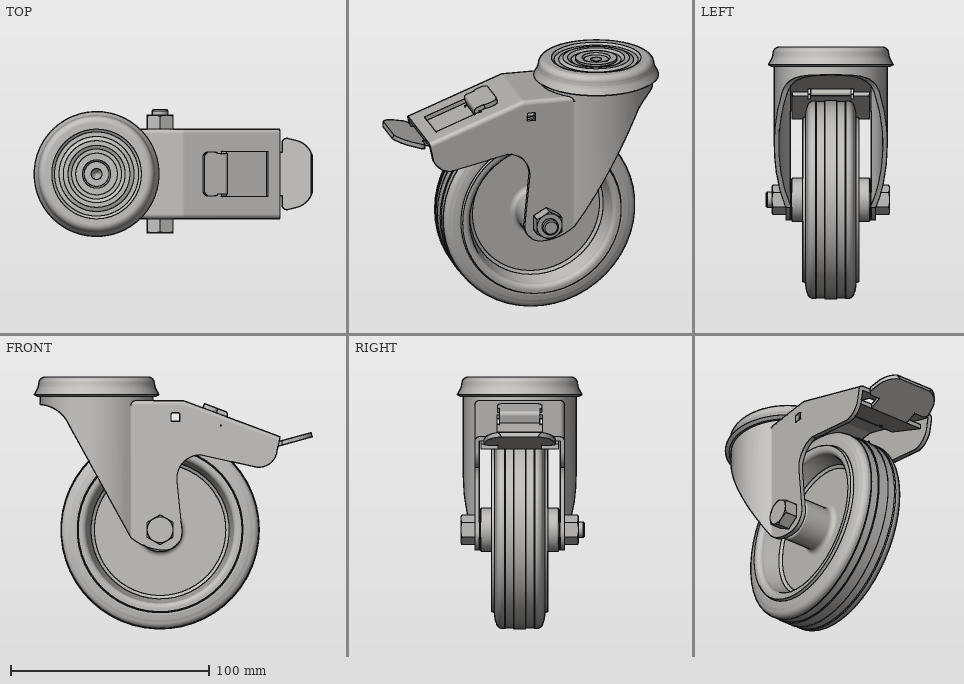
import cadquery as cq
import math


total_height = 127.0
wheel_radius = 50.0
wheel_offset = 32.0
bolt_diameter = 8.0
clearance_diameter = 8.3

head_radius = 31.5
head_height = 10.0
fork_top = total_height - head_height

sheet = 2.25
neck_radius = 28.5
leg_half_width = 22.6
channel_half_width = leg_half_width - sheet


def turned(outline):
    """Revolve an (r, axial) outline about the Z axis."""
    return outline.close().revolve(360, (0, 0, 0), (0, 1, 0))


head_rim_round = 3.4
head_top_radius = 25.8
pin_bore_radius = 5.52 / 2
pin_bore_depth = 4.0
drill_tip_depth = pin_bore_radius * math.tan(math.radians(60))
recess_radius = 12.5 / 2
recess_mouth_radius = 14.22 / 2
recess_depth = recess_mouth_radius - recess_radius
boss_radius = 10.5
ring_level = total_height - 1.0
recess_floor = total_height - recess_depth
bore_floor = recess_floor - pin_bore_depth
rim_start = (head_top_radius + head_rim_round, total_height - head_rim_round)
rim_middle = (
    head_top_radius + head_rim_round * math.sin(math.pi / 4),
    total_height - head_rim_round * (1 - math.cos(math.pi / 4)),
)


def make_head():
    outline = (
        cq.Workplane("XZ")
        .moveTo(0, fork_top)
        .lineTo(29.5, fork_top)
        .lineTo(head_radius, fork_top + 1.0)
        .lineTo(29.9, fork_top + 4.0)
        .lineTo(29.5, fork_top + 5.0)
        .lineTo(*rim_start)
        .threePointArc(rim_middle, (head_top_radius, total_height))
        .lineTo(22.6, total_height)
        .lineTo(21.2, ring_level)
        .lineTo(18.9, ring_level)
        .lineTo(16.8, total_height)
        .lineTo(14.4, total_height)
        .lineTo(12.6, ring_level)
        .lineTo(boss_radius, ring_level)
        .lineTo(boss_radius, total_height)
        .lineTo(recess_mouth_radius, total_height)
        .lineTo(recess_radius, recess_floor)
        .lineTo(pin_bore_radius, recess_floor)
        .lineTo(pin_bore_radius, bore_floor)
        .lineTo(0, bore_floor - drill_tip_depth)
    )
    return turned(outline)


roof_height = 115.1
roof_bend_x = 43.7
roof_angle = 20.5
roof_slope_length = 52.1
roof_bend_radius = 3.5
edge_round = sheet
crease_x = math.sqrt(neck_radius**2 - leg_half_width**2)
crease_round = 1.0
slope_cos = math.cos(math.radians(roof_angle))
slope_sin = math.sin(math.radians(roof_angle))
roof_plane = cq.Plane(
    origin=(roof_bend_x, 0, roof_height),
    xDir=(slope_cos, 0, -slope_sin),
    normal=(slope_sin, 0, slope_cos),
)
roof_end = roof_plane.toWorldCoords((roof_slope_length, 0, 0))

neck_front_height = 113.0
sight_hole_x = 39.7
sight_hole_z = 106.8
sight_hole_size = 4.2
sight_hole_round = 0.8

window_front = 20.5
window_rear = 45.6
window_half_width = 11.4


def side_outline():
    """Fork seen from the side, as a slab wide enough for the neck."""
    return (
        cq.Workplane("XZ", origin=(0, neck_radius, 0))
        .moveTo(-neck_radius, fork_top)
        .lineTo(-neck_radius, neck_front_height)
        .threePointArc((-20.4, 110.4), (-14.2, 103.3))
        .lineTo(17.2, 46.2)
        .threePointArc((24.7, 41.6), (34.5, 39.8))
        .threePointArc((40.6, 42.4), (43.1, 48.7))
        .lineTo(40.4, 75.5)
        .threePointArc((43.7, 84.0), (52.0, 87.8))
        .lineTo(81.0, 81.4)
        .threePointArc((87.4, 83.4), (91.0, 90.0))
        .lineTo(roof_end.x, roof_end.z)
        .lineTo(roof_end.x, fork_top)
        .close()
        .extrude(2 * neck_radius)
    )


def under_roof(half_width, inset):
    """Prism below the roof line, which is moved inwards by the inset."""
    corner = roof_plane.toWorldCoords((-inset * math.tan(math.radians(roof_angle / 2)), 0, -inset))
    slope_end = roof_plane.toWorldCoords((roof_slope_length, 0, -inset))
    prism = (
        cq.Workplane("XZ", origin=(0, half_width, 0))
        .moveTo(0, 0)
        .lineTo(slope_end.x + inset, 0)
        .lineTo(slope_end.x + inset, slope_end.z - inset * math.tan(math.radians(roof_angle)))
        .lineTo(corner.x, corner.z)
        .lineTo(0, corner.z)
        .close()
        .extrude(2 * half_width)
    )
    return prism.edges(cq.selectors.NearestToPointSelector((corner.x, 0, corner.z))).fillet(roof_bend_radius)


def bend_strips():
    """Neck and start of the legs, with the inside bend between them rounded."""
    bend_length = 2 * crease_round
    height = roof_height - edge_round
    legs = (
        cq.Workplane("XY", origin=((crease_x + bend_length) / 2, 0, 0))
        .rect(crease_x + bend_length, 2 * leg_half_width)
        .extrude(height)
    )
    neck = cq.Workplane("XY").circle(neck_radius).extrude(height)
    creases = cq.selectors.BoxSelector(
        (crease_x - 0.1, -neck_radius, 0), (crease_x + 0.1, neck_radius, height)
    )
    return neck.union(legs).edges("|Z").edges(creases).fillet(crease_round)


def make_fork():
    neck = cq.Workplane("XY").circle(neck_radius).extrude(fork_top)
    cover = under_roof(leg_half_width, 0)
    cover = cover.faces(">Z").edges(">Y or <Y").fillet(edge_round)
    body = neck.union(cover).union(bend_strips())
    body = body.intersect(side_outline())

    neck_inside = cq.Workplane("XY").circle(neck_radius - sheet).extrude(fork_top - sheet)
    body = body.cut(neck_inside).cut(under_roof(channel_half_width, sheet))

    axle_hole = (
        cq.Workplane("XZ", origin=(wheel_offset, leg_half_width, wheel_radius))
        .circle(clearance_diameter / 2)
        .extrude(2 * leg_half_width)
    )
    sight_hole = (
        cq.Workplane("XZ", origin=(sight_hole_x, leg_half_width, sight_hole_z))
        .rect(sight_hole_size, sight_hole_size)
        .extrude(2 * leg_half_width)
        .edges("|Y and >Z")
        .fillet(sight_hole_round)
    )
    window = (
        cq.Workplane(roof_plane)
        .center((window_front + window_rear) / 2, 0)
        .rect(window_rear - window_front, 2 * window_half_width)
        .extrude(2 * sheet, both=True)
    )
    return body.cut(axle_hole).cut(sight_hole).cut(window)


flange_half_width = 14.2
flange_radius = 82.5 / 2
rim_round = 2.7
rim_mouth_radius = 39.7
rim_wall_radius = rim_mouth_radius - rim_round
rim_floor_radius = 34.8
disc_radius = 33.1
disc_half_width = 2.5
hub_radius = 22.15 / 2
hub_half_width = 19.7
hub_round = 1.0
hub_fillet = 2.7
tyre_half_width = 12.7
sidewall_half_width = 12.3
tread_radius = 49.5
tread_rib_radius = 49.8


def half_wheel():
    """Half of the wheel on one side of its middle plane, built about the Z axis."""
    rim_round_offset = rim_round * (1 - math.sin(math.pi / 4))
    hub_round_offset = hub_round * (1 - math.sin(math.pi / 4))
    hub_fillet_offset = hub_fillet * (1 - math.sin(math.pi / 4))
    outline = (
        cq.Workplane("XZ")
        .moveTo(clearance_diameter / 2, 0)
        .lineTo(clearance_diameter / 2, hub_half_width)
        .lineTo(hub_radius - hub_round, hub_half_width)
        .threePointArc(
            (hub_radius - hub_round_offset, hub_half_width - hub_round_offset),
            (hub_radius, hub_half_width - hub_round),
        )
        .lineTo(hub_radius, disc_half_width + hub_fillet)
        .threePointArc(
            (hub_radius + hub_fillet_offset, disc_half_width + hub_fillet_offset),
            (hub_radius + hub_fillet, disc_half_width),
        )
        .lineTo(disc_radius, disc_half_width)
        .lineTo(rim_floor_radius, disc_half_width + 1.0)
        .lineTo(rim_wall_radius, flange_half_width - rim_round)
        .threePointArc(
            (rim_wall_radius + rim_round_offset, flange_half_width - rim_round_offset),
            (rim_mouth_radius, flange_half_width),
        )
        .lineTo(flange_radius, flange_half_width)
        .lineTo(41.8, tyre_half_width)
        .lineTo(43.1, tyre_half_width)
        .lineTo(45.6, sidewall_half_width)
        .lineTo(47.0, sidewall_half_width - 0.5)
        .threePointArc((49.0, 10.7), (tread_rib_radius, 9.1))
        .lineTo(tread_rib_radius, 7.7)
        .lineTo(tread_radius, 7.1)
        .lineTo(tread_radius, 3.1)
        .lineTo(wheel_radius, 2.8)
        .lineTo(wheel_radius, 0)
    )
    return turned(outline)


def make_wheel():
    half = half_wheel()
    return (
        half.union(half.mirror("XY"))
        .rotate((0, 0, 0), (1, 0, 0), 90)
        .translate((wheel_offset, 0, wheel_radius))
    )


hex_across_flats = 13.0
hex_height = 7.0
hex_across_corners = hex_across_flats / math.cos(math.pi / 6)
hex_chamfer_width = (hex_across_corners - hex_across_flats) / 2
hex_chamfer_height = hex_chamfer_width / 2
bolt_tip = 32.55
bolt_chamfer = 0.7


def hexagon(outer_y, chamfered_side):
    """Hexagon prism from the given Y face towards -Y, corners up and down, one end's corners chamfered."""
    blank = (
        cq.Workplane("XZ", origin=(wheel_offset, outer_y, wheel_radius))
        .circle(hex_across_corners / 2)
        .extrude(hex_height)
        .faces(chamfered_side)
        .chamfer(hex_chamfer_height, hex_chamfer_width)
    )
    prism = (
        cq.Workplane("XZ", origin=(wheel_offset, outer_y, wheel_radius))
        .transformed(rotate=(0, 0, 90))
        .polygon(6, hex_across_corners)
        .extrude(hex_height)
    )
    return prism.intersect(blank)


def make_bolt():
    shank = (
        cq.Workplane("XZ", origin=(wheel_offset, bolt_tip, wheel_radius))
        .circle(bolt_diameter / 2)
        .extrude(bolt_tip + leg_half_width)
        .faces(">Y")
        .chamfer(bolt_chamfer)
    )
    return shank.union(hexagon(-leg_half_width, "<Y"))


def make_nut():
    bore = (
        cq.Workplane("XZ", origin=(wheel_offset, leg_half_width + hex_height, wheel_radius))
        .circle(bolt_diameter / 2)
        .extrude(hex_height)
    )
    return hexagon(leg_half_width + hex_height, ">Y").cut(bore)


pedal_thickness = 2.3
tab_front = 10.5
tab_neck = 18.6
tab_half_width = 11.2
tab_neck_half_width = 10.2
tab_round = 3.0
web_rear = 23.5
web_drop = 5.4
web_top_round = 1.9
web_bottom_round = 1.6
plate_front_x = 63.5
plate_front_z = 104.2
plate_half_width = 19.6
plate_round = 3.0
relief_length = 2.0
valley_x = 86.5
flap_tip_x = 108.69
flap_tip_z = 96.8
flap_angle = 15.5
flap_start_x = 93.4
flap_half_width = 18.0
flap_neck_half_width = 11.0
flap_cos = math.cos(math.radians(flap_angle))
flap_sin = math.sin(math.radians(flap_angle))
flap_rise = math.tan(math.radians(flap_angle))


def pedal_section():
    """Plate and flap, seen from the side, at full width."""
    valley_z = flap_tip_z - (flap_tip_x - valley_x) * flap_rise
    fall = math.atan2(plate_front_z - pedal_thickness - valley_z, valley_x - plate_front_x)
    half_turn = (math.radians(flap_angle) + fall) / 2
    miter = pedal_thickness / math.cos(half_turn)
    miter_angle = math.radians(flap_angle) - half_turn
    front_bottom = (
        plate_front_x - pedal_thickness * math.sin(fall),
        plate_front_z - pedal_thickness * math.cos(fall),
    )
    return (
        cq.Workplane("XZ", origin=(0, plate_half_width, 0))
        .moveTo(*front_bottom)
        .lineTo(valley_x, valley_z)
        .lineTo(flap_tip_x, flap_tip_z)
        .lineTo(flap_tip_x - pedal_thickness * flap_sin, flap_tip_z + pedal_thickness * flap_cos)
        .lineTo(valley_x - miter * math.sin(miter_angle), valley_z + miter * math.cos(miter_angle))
        .lineTo(plate_front_x, plate_front_z)
        .close()
        .extrude(2 * plate_half_width)
    )


def pedal_plan():
    """Plan outline of the plate, the neck and the rounded flap."""
    plate = (
        cq.Workplane("XY")
        .rect(2 * (valley_x - plate_front_x + pedal_thickness), 2 * plate_half_width)
        .extrude(total_height)
        .edges("|Z and <X")
        .fillet(plate_round)
        .translate((valley_x, 0, 0))
    )
    plate = plate.intersect(cq.Workplane("XY").box(2 * valley_x, 2 * leg_half_width, 2 * total_height))
    neck = (
        cq.Workplane("XY", origin=((valley_x + flap_start_x) / 2, 0, 0))
        .rect(flap_start_x - valley_x + 2 * pedal_thickness, 2 * flap_neck_half_width)
        .extrude(total_height)
    )
    flap = (
        cq.Workplane("XY")
        .moveTo(flap_start_x, 16.0)
        .threePointArc((flap_start_x + 0.9, 17.5), (flap_start_x + 2.8, flap_half_width))
        .lineTo(101.0, 16.8)
        .threePointArc((106.0, 13.8), (flap_tip_x, 9.0))
        .lineTo(flap_tip_x, -9.0)
        .threePointArc((106.0, -13.8), (101.0, -16.8))
        .lineTo(flap_start_x + 2.8, -flap_half_width)
        .threePointArc((flap_start_x + 0.9, -17.5), (flap_start_x, -16.0))
        .close()
        .extrude(total_height)
    )
    return plate.union(neck).union(flap)


def make_tab():
    """Hook that lies on the roof and drops through the window."""
    head = (
        cq.Workplane(roof_plane)
        .center((tab_front + tab_neck) / 2, 0)
        .rect(tab_neck - tab_front, 2 * tab_half_width)
        .extrude(pedal_thickness)
        .edges(cq.selectors.ParallelDirSelector(roof_plane.zDir))
        .fillet(tab_round)
    )
    neck_start = tab_front + tab_round
    neck = (
        cq.Workplane(roof_plane)
        .center((neck_start + web_rear) / 2, 0)
        .rect(web_rear - neck_start, 2 * tab_neck_half_width)
        .extrude(pedal_thickness)
    )
    web = (
        cq.Workplane(roof_plane)
        .workplane(offset=-web_drop)
        .center(web_rear - pedal_thickness / 2, 0)
        .rect(pedal_thickness, 2 * tab_neck_half_width)
        .extrude(web_drop + pedal_thickness)
    )
    top_edge = roof_plane.toWorldCoords((web_rear, 0, pedal_thickness))
    bottom_edge = roof_plane.toWorldCoords((web_rear - pedal_thickness, 0, -web_drop))
    hook = neck.union(web)
    hook = hook.edges(cq.selectors.NearestToPointSelector(top_edge.toTuple())).fillet(web_top_round)
    hook = hook.edges(cq.selectors.NearestToPointSelector(bottom_edge.toTuple())).fillet(web_bottom_round)
    return hook.union(head)


def make_pedal():
    reliefs = (
        cq.Workplane("XY", origin=(plate_front_x, 0, 0))
        .rect(2 * relief_length, 2 * window_half_width)
        .rect(2 * relief_length, 2 * tab_neck_half_width)
        .extrude(total_height)
    )
    return pedal_section().intersect(pedal_plan()).cut(reliefs).union(make_tab())


head = make_head()
fork = make_fork()
wheel = make_wheel()
bolt = make_bolt()
nut = make_nut()
pedal = make_pedal()

result = cq.Compound.makeCompound(
    [
        head.val(),
        *fork.solids().vals(),
        *wheel.solids().vals(),
        *bolt.solids().vals(),
        *nut.solids().vals(),
        *pedal.solids().vals(),
    ]
)